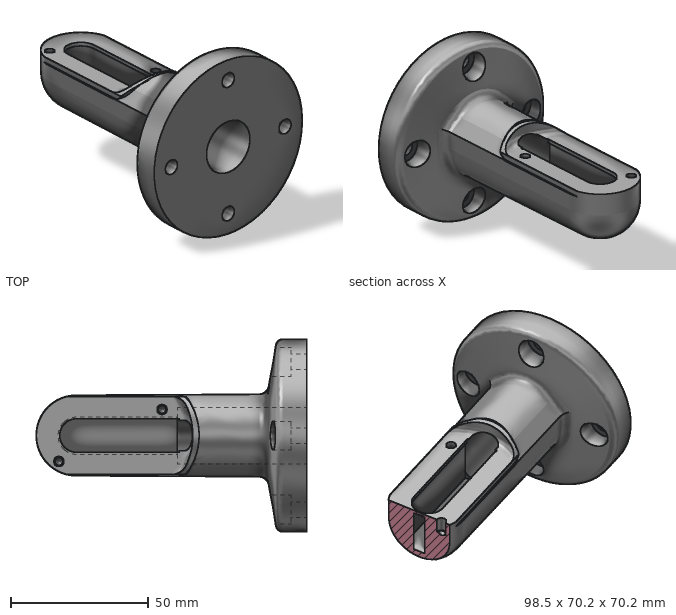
import cadquery as cq
import math


flange_radius = 35.1
flange_edge_x = -10.9
cone_angle = 9.8
flange_edge_radius = 2.7
screw_circle_radius = 26.9
screw_count = 4
screw_hole_diameter = 5.7
screw_head_diameter = 10.5
screw_head_floor_x = -5.9

overall_length = 98.5
tip_radius = 14.7
root_radius = 15.1
root_x = -8.9
flat_angle = 48.0
root_fillet_radius = 3.4
dome_x = tip_radius - overall_length

seat_floor_z = 6.4
seat_wall_x = -39.2
seat_wall_radius = 23.6
seat_fillet_radius = 3.0

tongue_half_width = 14.2
tongue_floor_z = 8.6
tongue_crown_z = 14.3
tongue_crown_radius = 20.4
tongue_wall_x = -41.5
tongue_wall_radius = 25.6
tongue_fillet_radius = 2.7

bore_radius = 10.2
mouth_width = 12.2
mouth_end_x = -46.4
lip_bottom_z = 7.1
cavity_width = 13.6
cavity_end_x = -47.1

cover_holes = [(-90.2, -9.5), (-52.7, 9.5)]
cover_hole_diameter = 3.6
cover_hole_depth = 5.9
core_diameter = 2.9
core_tip_depth = 0.9

clearance = 19.7


def make_flange():
    cone_rise = flange_radius * math.tan(math.radians(cone_angle))
    half_section = [(0, 0), (0, flange_radius), (flange_edge_x, flange_radius), (flange_edge_x - cone_rise, 0)]
    disc = cq.Workplane("XY").polyline(half_section).close().revolve(360, (0, 0), (1, 0))
    front_rim = cq.selectors.NearestToPointSelector((flange_edge_x, 0, flange_radius))
    return disc.edges(front_rim).fillet(flange_edge_radius)


def arm_section(x, radius):
    """Section of the arm: round below, upright sides, then sloping flats tangent to a round top."""
    angle = math.radians(flat_angle)
    corner_z = radius * math.tan(angle / 2)
    tangent_y = radius * math.cos(angle)
    tangent_z = radius * math.sin(angle)
    return (
        cq.Workplane("YZ", origin=(x, 0, 0))
        .moveTo(radius, 0)
        .lineTo(radius, corner_z)
        .lineTo(tangent_y, tangent_z)
        .threePointArc((0, radius), (-tangent_y, tangent_z))
        .lineTo(-radius, corner_z)
        .lineTo(-radius, 0)
        .threePointArc((0, -radius), (radius, 0))
        .close()
        .wires()
        .val()
    )


def make_bar():
    sections = [arm_section(dome_x, tip_radius), arm_section(root_x, root_radius)]
    return cq.Workplane(cq.Solid.makeLoft(sections, True))


def make_dome():
    """Half-round end of the arm: upright above the axis, a quarter sphere below it."""
    slope = tip_radius * math.sqrt(0.5)
    return (
        cq.Workplane("YZ")
        .moveTo(0, -tip_radius)
        .threePointArc((slope, -slope), (tip_radius, 0))
        .lineTo(tip_radius, seat_floor_z)
        .lineTo(0, seat_floor_z)
        .close()
        .revolve(180, (0, 0), (0, 1))
        .translate((dome_x, 0, 0))
    )


def recess_cutter(floor_z, wall_x, wall_radius, fillet_radius):
    """Clears everything above a floor, up to an upright arched wall with a filleted foot."""
    side_x = wall_x - wall_radius + math.sqrt(wall_radius**2 - clearance**2)
    start_x = -overall_length - clearance
    return (
        cq.Workplane("XY", origin=(0, 0, floor_z))
        .moveTo(start_x, -clearance)
        .lineTo(side_x, -clearance)
        .threePointArc((wall_x, 0), (side_x, clearance))
        .lineTo(start_x, clearance)
        .close()
        .extrude(clearance)
        .edges(cq.selectors.NearestToPointSelector((wall_x, 0, floor_z)))
        .fillet(fillet_radius)
    )


def make_tongue():
    shoulder_drop = tongue_crown_radius - math.sqrt(tongue_crown_radius**2 - tongue_half_width**2)
    shoulder_z = tongue_crown_z - shoulder_drop
    arched_bar = (
        cq.Workplane("YZ", origin=(-overall_length, 0, 0))
        .moveTo(-tongue_half_width, 0)
        .lineTo(tongue_half_width, 0)
        .lineTo(tongue_half_width, shoulder_z)
        .threePointArc((0, tongue_crown_z), (-tongue_half_width, shoulder_z))
        .close()
        .extrude(overall_length + seat_wall_x)
    )
    plan = (
        cq.Workplane("XY")
        .moveTo(seat_wall_x, -tip_radius)
        .lineTo(dome_x, -tip_radius)
        .threePointArc((-overall_length, 0), (dome_x, tip_radius))
        .lineTo(seat_wall_x, tip_radius)
        .close()
        .extrude(clearance)
    )
    recess = recess_cutter(tongue_floor_z, tongue_wall_x, tongue_wall_radius, tongue_fillet_radius)
    seat = recess_cutter(seat_floor_z, seat_wall_x, seat_wall_radius, seat_fillet_radius)
    return arched_bar.intersect(plan).intersect(seat).cut(recess)


def round_ended_slot(width, end_x, bottom_z, top_z):
    """Slot along X with a half-round end centred on the dome and a square end at end_x."""
    half_width = width / 2
    return (
        cq.Workplane("XY", origin=(0, 0, bottom_z))
        .moveTo(end_x, -half_width)
        .lineTo(dome_x, -half_width)
        .threePointArc((dome_x - half_width, 0), (dome_x, half_width))
        .lineTo(end_x, half_width)
        .close()
        .extrude(top_z - bottom_z)
    )


def make_cable_passage():
    bore = cq.Workplane("YZ").circle(bore_radius).extrude(cavity_end_x)
    cavity = round_ended_slot(cavity_width, cavity_end_x, -bore_radius, lip_bottom_z)
    mouth = round_ended_slot(mouth_width, mouth_end_x, lip_bottom_z, clearance)
    return bore.union(cavity).union(mouth)


def make_cover_hole(x, y):
    thread = cq.Workplane("XY").circle(cover_hole_diameter / 2).extrude(-cover_hole_depth)
    tip = cq.Workplane(cq.Solid.makeCone(core_diameter / 2, 0, core_tip_depth, dir=cq.Vector(0, 0, -1)))
    return thread.union(tip.translate((0, 0, -cover_hole_depth))).translate((x, y, tongue_floor_z))


def make_screw_holes():
    places = cq.Workplane("YZ").polarArray(screw_circle_radius, 0, 360, screw_count)
    shanks = places.circle(screw_hole_diameter / 2).extrude(-clearance)
    heads = (
        cq.Workplane("YZ", origin=(screw_head_floor_x, 0, 0))
        .polarArray(screw_circle_radius, 0, 360, screw_count)
        .circle(screw_head_diameter / 2)
        .extrude(-clearance)
    )
    return shanks.union(heads)


body = make_flange().union(make_bar().union(make_dome()))
root_edges = cq.selectors.BoxSelector((-16.7, -17.7, -17.7), (-11.8, 17.7, 17.7))
body = body.edges(root_edges).fillet(root_fillet_radius)
body = body.cut(recess_cutter(seat_floor_z, seat_wall_x, seat_wall_radius, seat_fillet_radius))
body = body.union(make_tongue())
body = body.cut(make_cable_passage()).cut(make_screw_holes())
for hole_x, hole_y in cover_holes:
    body = body.cut(make_cover_hole(hole_x, hole_y))

result = body